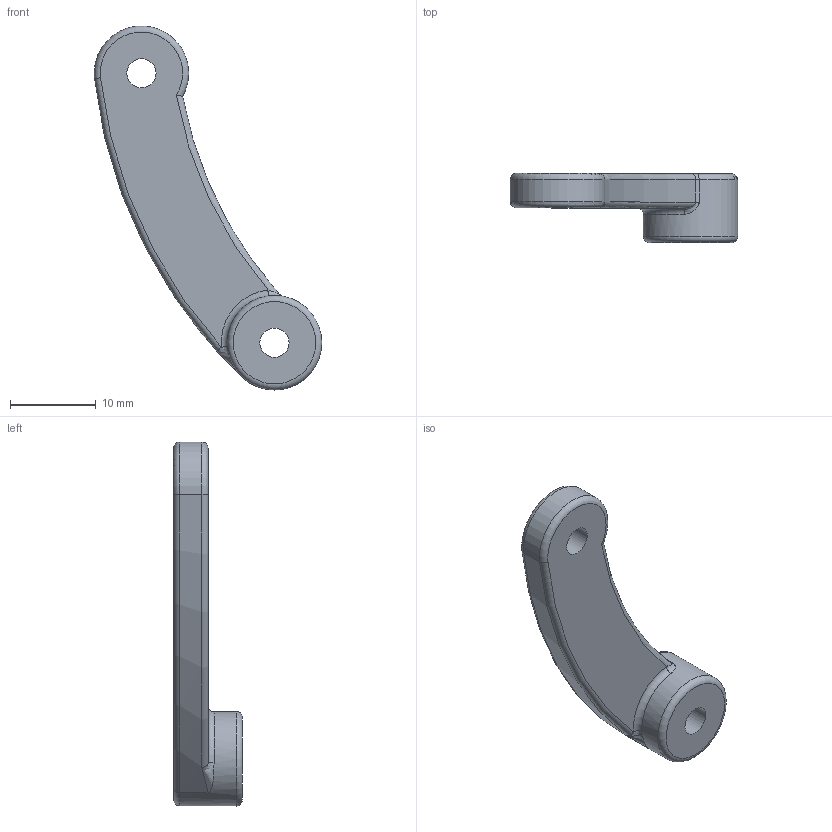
import cadquery as cq
import math

end_diameter = 11.0
hole_diameter = 3.4
plate_thickness = 4.0
boss_height = 8.0
pivot_offset_x = 15.49
pivot_offset_z = -31.38
path_radius = 51.5
arm_width = 9.85
edge_radius = 0.7

end_radius = end_diameter / 2
arm_outer_radius = path_radius + end_radius
arm_inner_radius = arm_outer_radius - arm_width
upper_pivot = (0.0, 0.0)
lower_pivot = (pivot_offset_x, pivot_offset_z)

pivot_distance = math.hypot(pivot_offset_x, pivot_offset_z)
center_offset = math.sqrt(path_radius**2 - (pivot_distance / 2) ** 2)
arc_center = (
    pivot_offset_x / 2 - center_offset * pivot_offset_z / pivot_distance,
    pivot_offset_z / 2 + center_offset * pivot_offset_x / pivot_distance,
)


def angle_to(point):
    """Direction from the arc centre to a point, between 0 and a full turn."""
    return math.atan2(point[1] - arc_center[1], point[0] - arc_center[0]) % math.tau


start_angle = angle_to(upper_pivot)
end_angle = angle_to(lower_pivot)
middle_angle = (start_angle + end_angle) / 2


def on_arc(radius, angle):
    """Point (x, z) at a given radius and direction from the arc centre."""
    return (
        arc_center[0] + radius * math.cos(angle),
        arc_center[1] + radius * math.sin(angle),
    )


def make_cylinder(pivot, diameter, height):
    """Cylinder on a pivot axis, from the back face at Y = 0 toward -Y."""
    return cq.Workplane("XZ").center(*pivot).circle(diameter / 2).extrude(height)


def make_arm():
    """Curved band between the pivots, tangent to both round ends on its outer side."""
    return (
        cq.Workplane("XZ")
        .moveTo(*on_arc(arm_outer_radius, start_angle))
        .threePointArc(
            on_arc(arm_outer_radius, middle_angle),
            on_arc(arm_outer_radius, end_angle),
        )
        .lineTo(*on_arc(arm_inner_radius, end_angle))
        .threePointArc(
            on_arc(arm_inner_radius, middle_angle),
            on_arc(arm_inner_radius, start_angle),
        )
        .close()
        .extrude(plate_thickness)
    )


def round_edges(body):
    """Round all rims, the boss root and the corner where the arm's inner side meets the boss."""
    near_corner = (lower_pivot[0], -plate_thickness / 2, lower_pivot[1] + end_radius)
    inner_corner = body.edges("|Y").edges(cq.selectors.NearestToPointSelector(near_corner))
    return body.faces("|Y").edges().add(inner_corner).fillet(edge_radius)


def drill_pivots(body):
    """Through hole on each pivot axis."""
    for pivot in (upper_pivot, lower_pivot):
        body = body.cut(make_cylinder(pivot, hole_diameter, boss_height))
    return body


upper_end = make_cylinder(upper_pivot, end_diameter, plate_thickness)
boss = make_cylinder(lower_pivot, end_diameter, boss_height)
blank = make_arm().union(upper_end).union(boss)
result = drill_pivots(round_edges(blank))